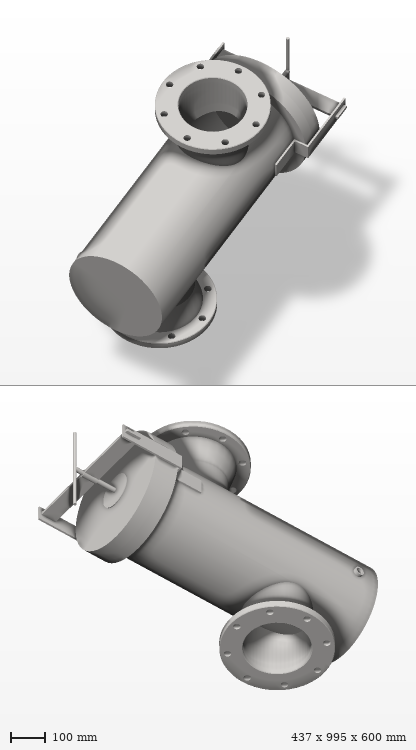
import cadquery as cq


shell_radius = 158.0
shell_wall = 8.0
closed_end_thickness = 6.0
rim_radius = 197.0
rim_thickness = 39.0
rim_bottom_y = 760.0
rim_top_y = rim_bottom_y + rim_thickness

lid_thickness = 42.0
lid_top_y = rim_top_y + lid_thickness

pipe_radius = 105.0
bore_radius = 101.0
inlet_y = 559.0
outlet_y = 251.0
nozzle_face_spacing = 600.0
flange_face_z = nozzle_face_spacing / 2
flange_radius = 170.0
flange_thickness = 25.0
flange_height = 101.0
flange_edge_chamfer = 2.0
neck_base_radius = 128.0
bolt_circle_radius = 147.0
bolt_hole_diameter = 22.0
bolt_count = 8
pipe_end_z = flange_face_z - flange_height

drain_y = 75.0
drain_radius = 15.0
drain_hole_radius = 10.0
drain_tip_x = 169.0

bracket_thickness = 6.0
bracket_width = 52.0
bracket_foot_y = 649.0
bracket_tip_y = 969.0
bracket_arm_inner_x = 203.0

bar_length = 437.0
bar_width = 51.0
bar_thickness = 10.0
bar_center_y = 935.0
bar_boss_radius = 11.0

spindle_radius = 7.5
handle_radius = 5.0
handle_length = 304.0
overall_length = 995.0
pad_radius = 57.0
pad_thickness = 3.0
handle_y = overall_length - handle_radius


def cylinder_y(radius, start_y, end_y):
    """Solid cylinder on the vessel axis between two Y positions."""
    return cq.Workplane("XZ", origin=(0, start_y, 0)).circle(radius).extrude(start_y - end_y)


def cylinder_z(radius, center_y, start_z, end_z):
    """Solid upright cylinder centred on the YZ plane."""
    return cq.Workplane("XY", origin=(0, center_y, start_z)).circle(radius).extrude(end_z - start_z)


def drain_cylinder(radius, start_x):
    """Cylinder along X from start_x out to the tip of the drain socket."""
    return cq.Workplane("YZ", origin=(-drain_tip_x, drain_y, 0)).circle(radius).extrude(drain_tip_x - start_x)


def make_vessel():
    """Closed shell with its rim, two nozzle pipes and the drain socket."""
    cavity_radius = shell_radius - shell_wall
    drain_root_x = shell_radius - shell_wall / 2
    vessel = (
        cylinder_y(shell_radius, 0, rim_top_y)
        .union(cylinder_y(rim_radius, rim_bottom_y, rim_top_y))
        .union(cylinder_z(pipe_radius, inlet_y, 0, pipe_end_z))
        .union(cylinder_z(pipe_radius, outlet_y, -pipe_end_z, 0))
        .union(drain_cylinder(drain_radius, drain_root_x))
    )
    return (
        vessel.cut(cylinder_y(cavity_radius, closed_end_thickness, rim_top_y))
        .cut(cylinder_z(bore_radius, inlet_y, 0, pipe_end_z))
        .cut(cylinder_z(bore_radius, outlet_y, -pipe_end_z, 0))
        .cut(drain_cylinder(drain_hole_radius, 0))
    )


def make_lid():
    """Plain disc closing the open end of the vessel."""
    return cylinder_y(rim_radius, rim_top_y, lid_top_y)


def make_flange(center_y, side):
    """Weld-neck flange; side is +1 for the top nozzle and -1 for the bottom one."""
    plate_back_z = flange_face_z - flange_thickness
    plate_edge_radius = flange_radius - flange_edge_chamfer
    profile = [
        (bore_radius, pipe_end_z),
        (pipe_radius, pipe_end_z),
        (neck_base_radius, plate_back_z),
        (plate_edge_radius, plate_back_z),
        (flange_radius, plate_back_z + flange_edge_chamfer),
        (flange_radius, flange_face_z - flange_edge_chamfer),
        (plate_edge_radius, flange_face_z),
        (bore_radius + flange_edge_chamfer, flange_face_z),
        (bore_radius, flange_face_z - flange_edge_chamfer),
    ]
    flange = cq.Workplane("XZ").polyline(profile).close().revolve(360, (0, 0), (0, 1))
    bolt_holes = (
        cq.Workplane("XY", origin=(0, 0, plate_back_z))
        .polarArray(bolt_circle_radius, 0, 360, bolt_count)
        .circle(bolt_hole_diameter / 2)
        .extrude(flange_thickness)
    )
    flange = flange.cut(bolt_holes)
    if side < 0:
        flange = flange.mirror("XY")
    return flange.translate((0, center_y, 0))


def bar_blank():
    """Flat clamp bar before the boss is added; it also cuts the bracket slots."""
    return cq.Workplane("XY", origin=(0, bar_center_y, 0)).box(bar_length, bar_width, bar_thickness)


def make_bracket(side):
    """Stepped strap from the shell, under the rim and up to the clamp bar; side is +1 or -1 in X."""
    foot_outer_x = shell_radius + bracket_thickness
    arm_outer_x = bracket_arm_inner_x + bracket_thickness
    step_y = rim_bottom_y - bracket_thickness
    outline = [
        (side * shell_radius, bracket_foot_y),
        (side * foot_outer_x, bracket_foot_y),
        (side * foot_outer_x, step_y),
        (side * arm_outer_x, step_y),
        (side * arm_outer_x, bracket_tip_y),
        (side * bracket_arm_inner_x, bracket_tip_y),
        (side * bracket_arm_inner_x, rim_bottom_y),
        (side * shell_radius, rim_bottom_y),
    ]
    strap = cq.Workplane("XY").polyline(outline).close().extrude(bracket_width / 2, both=True)
    return strap.cut(bar_blank())


def make_clamp_bar():
    """Flat bar with a central boss bored for the spindle."""
    bar_start_y = bar_center_y - bar_width / 2
    bar_end_y = bar_center_y + bar_width / 2
    boss = cylinder_y(bar_boss_radius, bar_start_y, bar_end_y)
    bore = cylinder_y(spindle_radius, bar_start_y, bar_end_y)
    return bar_blank().union(boss).cut(bore)


def make_spindle():
    """Clamp spindle with its pressure pad and crosswise handle."""
    pad = cylinder_y(pad_radius, lid_top_y, lid_top_y + pad_thickness)
    stem = cylinder_y(spindle_radius, lid_top_y, handle_y)
    handle = cylinder_z(handle_radius, handle_y, -handle_length / 2, handle_length / 2)
    return pad.union(stem).union(handle)


vessel = make_vessel()
lid = make_lid()
flanges = [make_flange(center_y, side) for center_y, side in ((inlet_y, 1), (outlet_y, -1))]
brackets = [make_bracket(side) for side in (-1, 1)]
clamp_bar = make_clamp_bar()
spindle = make_spindle()

result = cq.Compound.makeCompound(
    [
        vessel.val(),
        lid.val(),
        *[flange.val() for flange in flanges],
        *[bracket.val() for bracket in brackets],
        clamp_bar.val(),
        spindle.val(),
    ]
)